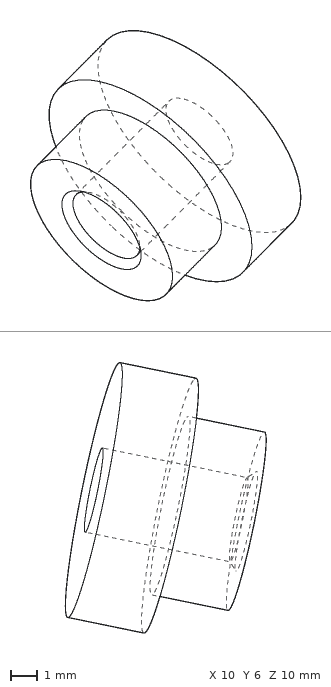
import cadquery as cq

flange_diameter = 10
flange_thickness = 3
boss_diameter = 7
boss_length = 3
bore_diameter = 3.3
countersink = 0.3

total_length = flange_thickness + boss_length

boss_face = cq.Workplane("XZ").transformed(rotate=(180, 0, 0))

boss = boss_face.circle(boss_diameter / 2).extrude(total_length)
flange = (
    boss_face.workplane(offset=boss_length)
    .circle(flange_diameter / 2)
    .extrude(flange_thickness)
)
body = boss.union(flange)

bore = boss_face.circle(bore_diameter / 2).extrude(total_length)
mouth = cq.Workplane(
    cq.Solid.makeCone(
        bore_diameter / 2 + countersink,
        bore_diameter / 2,
        countersink,
        pnt=cq.Vector(0, 0, 0),
        dir=cq.Vector(0, 1, 0),
    )
)

result = body.cut(bore).cut(mouth)